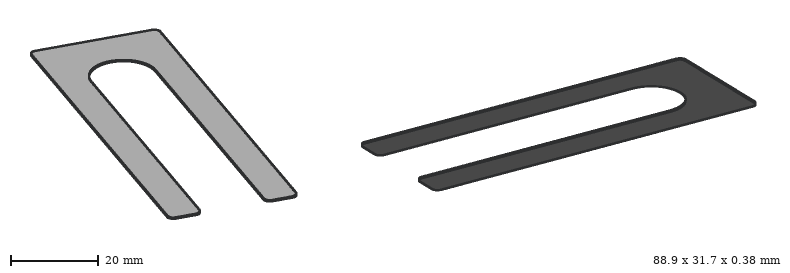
import cadquery as cq

length = 88.9
width = 31.7
thickness = 0.38
corner_radius = 1.5

slot_width = 15.8
web_length = 11.0
slot_radius = slot_width / 2
slot_centre_x = -length / 2 + web_length + slot_radius


def make_plate():
    return cq.Workplane("XY").box(length, width, thickness)


def make_slot():
    """Cutter for the slot, ending flush with the +X end of the plate."""
    end_x = length / 2
    return (
        cq.Workplane("XY", origin=(0, 0, -thickness))
        .moveTo(end_x, slot_radius)
        .lineTo(slot_centre_x, slot_radius)
        .threePointArc((slot_centre_x - slot_radius, 0), (slot_centre_x, -slot_radius))
        .lineTo(end_x, -slot_radius)
        .close()
        .extrude(2 * thickness)
    )


outer_corners = cq.selectors.BoxSelector(
    (-length, -width, -thickness), (-length / 2 + corner_radius, width, thickness)
)
tip_corners = cq.selectors.BoxSelector(
    (length / 2 - corner_radius, -width, -thickness), (length, width, thickness)
)
result = make_plate().cut(make_slot())
result = result.edges("|Z").edges(outer_corners + tip_corners).fillet(corner_radius)